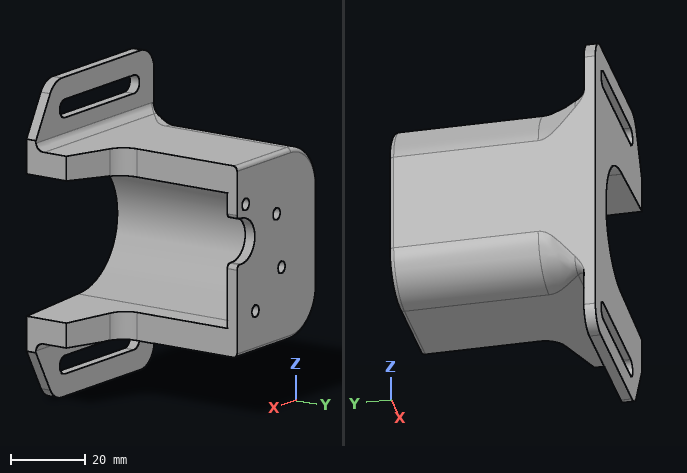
import cadquery as cq
import math


plate_width = 55.09
plate_height = 88.9
plate_thickness = 3.175
plate_corner_radius = 6.35
bevel_width = 8.5
bevel_height = 14.95

slot_length = 37.08
slot_width = 5.08
slot_center_x = 25.4
slot_offset_z = 35.65

depth = 57.15
housing_height = 53.34
housing_corner_radius = 12.7
flare_start = 15.875
wall_edge_x = 37.5
cheek_front_y = 13.25
cheek_angle = 20.0
cheek_fillet = 6.35
rear_edge_fillet = 1.27
root_fillet = 2.54
root_overlap = 0.02
root_start = plate_thickness + root_fillet - root_overlap
end_wall_thickness = 3.175

motor_x = 31.2
bay_radius = 18.5
bay_draft = 3.0
screw_circle_radius = 15.5
screw_hole_diameter = 3.3
screw_count = 4
screw_step = 60.0
shaft_angle = 51.5
shaft_offset = 7.0
first_screw_angle = shaft_angle + screw_step / 2
shaft_notch_radius = 6.35
notch_lip_radius = 1.27

flare_steps = 6


def plane_at(y):
    """Sketch plane at depth y: local x is X, local y is Z; negative extrusion goes to +Y."""
    return cq.Workplane("XZ", origin=(0, y, 0))


def mounting_plate():
    """Bevelled plate; the four corners on its top and bottom edges are rounded."""
    half = plate_height / 2
    bevel_x = plate_width - bevel_width
    bevel_z = half - bevel_height
    plate = (
        plane_at(0)
        .polyline([
            (0, -half), (bevel_x, -half), (plate_width, -bevel_z),
            (plate_width, bevel_z), (bevel_x, half), (0, half),
        ])
        .close()
        .extrude(-plate_thickness)
    )
    return plate.edges("|Y").edges("not >X").fillet(plate_corner_radius)


def housing_profile():
    """Plan outline (XY) of the housing, extruded high enough to include the root fillets."""
    rise = (plate_width - wall_edge_x) * math.tan(math.radians(cheek_angle))
    inner_corner_y = cheek_front_y + rise
    body = (
        cq.Workplane("XY")
        .polyline([
            (0, 0), (plate_width, 0), (plate_width, cheek_front_y),
            (wall_edge_x, inner_corner_y), (wall_edge_x, depth), (0, depth),
        ])
        .close()
        .extrude(housing_height, both=True)
    )
    corner = cq.selectors.NearestToPointSelector((wall_edge_x, inner_corner_y, 0))
    return body.edges("|Z").edges(corner).fillet(cheek_fillet)


def corner_radius_at(y):
    """Corner radius of the flare: an S-curve from zero at y=0 to full at flare_start."""
    s = y / flare_start
    return housing_corner_radius * s * s * (3 - 2 * s)


def rounded_outline(y, half_height, radius):
    """Closed cross-section at depth y: left corners rounded, right end beyond the housing."""
    right = 2 * plate_width
    inset = radius * (1 - math.sqrt(0.5))
    return (
        plane_at(y)
        .moveTo(right, -half_height)
        .lineTo(right, half_height)
        .lineTo(radius, half_height)
        .threePointArc((inset, half_height - inset), (0, half_height - radius))
        .lineTo(0, radius - half_height)
        .threePointArc((inset, inset - half_height), (radius, -half_height))
        .close()
    )


def loft_outlines(outlines):
    """Smooth solid through a series of cross-sections."""
    return cq.Workplane(cq.Solid.makeLoft([outline.val() for outline in outlines]))


def corner_flare():
    """Stretch where the corners sharpen at constant housing height."""
    outlines = []
    for i in range(flare_steps + 1):
        y = root_start + (flare_start - root_start) * i / flare_steps
        outlines.append(rounded_outline(y, housing_height / 2, corner_radius_at(y)))
    return loft_outlines(outlines)


def root_flare():
    """Stretch next to the plate where the concave root fillet widens the housing."""
    outlines = []
    for i in range(flare_steps + 1):
        turn = math.radians(90) * i / flare_steps
        y = root_start - root_fillet * math.sin(turn)
        half_height = housing_height / 2 + root_fillet * (1 - math.cos(turn))
        outlines.append(rounded_outline(y, half_height, corner_radius_at(y)))
    return loft_outlines(outlines)


def rear_shell():
    """Rear stretch with constant round corners and a rounded rear rim."""
    outline = rounded_outline(flare_start, housing_height / 2, housing_corner_radius)
    shell = outline.extrude(flare_start - depth)
    return shell.faces(">Y").edges("not >X").fillet(rear_edge_fillet)


def housing():
    """Solid housing: the plan outline trimmed to each lengthwise stretch in turn."""
    profile = housing_profile()
    body = profile.intersect(rear_shell())
    for stretch in (corner_flare(), root_flare()):
        body = body.union(profile.intersect(stretch))
    return body


def motor_bay():
    """Cavity open toward the front and right, ending at the end wall."""
    mouth_z = bay_radius + (plate_width - motor_x) * math.tan(math.radians(bay_draft))
    return (
        plane_at(0)
        .moveTo(plate_width, -mouth_z)
        .lineTo(motor_x, -bay_radius)
        .threePointArc((motor_x - bay_radius, 0), (motor_x, bay_radius))
        .lineTo(plate_width, mouth_z)
        .close()
        .extrude(end_wall_thickness - depth)
    )


def slots():
    """Adjustment slots through the plate, above and below the housing."""
    return (
        plane_at(0)
        .pushPoints([(slot_center_x, slot_offset_z), (slot_center_x, -slot_offset_z)])
        .slot2D(slot_length, slot_width)
        .extrude(-plate_thickness)
    )


def around_motor(radius, angle):
    """Point (x, z) at a radius and angle in degrees about the motor axis."""
    turn = math.radians(angle)
    return (motor_x + radius * math.cos(turn), radius * math.sin(turn))


def screw_holes():
    """Motor screw holes through the end wall, on a circle about the motor axis."""
    centers = []
    for i in range(screw_count):
        centers.append(around_motor(screw_circle_radius, first_screw_angle + i * screw_step))
    return plane_at(0).pushPoints(centers).circle(screw_hole_diameter / 2).extrude(-depth)


def shaft_notch():
    """Round-ended notch for the shaft boss, with rounded lips at the end wall's edge."""
    x, z = around_motor(shaft_offset, shaft_angle)
    lip_x = wall_edge_x - notch_lip_radius
    lip_inset = notch_lip_radius * (1 - math.sqrt(0.5))
    low = z - shaft_notch_radius
    high = z + shaft_notch_radius
    return (
        plane_at(0)
        .moveTo(lip_x, low)
        .lineTo(x, low)
        .threePointArc((x - shaft_notch_radius, z), (x, high))
        .lineTo(lip_x, high)
        .threePointArc((wall_edge_x - lip_inset, high + lip_inset), (wall_edge_x, high + notch_lip_radius))
        .lineTo(wall_edge_x, low - notch_lip_radius)
        .threePointArc((wall_edge_x - lip_inset, low - lip_inset), (lip_x, low))
        .close()
        .extrude(-depth)
    )


result = mounting_plate().union(housing())
for opening in (motor_bay(), slots(), screw_holes(), shaft_notch()):
    result = result.cut(opening)